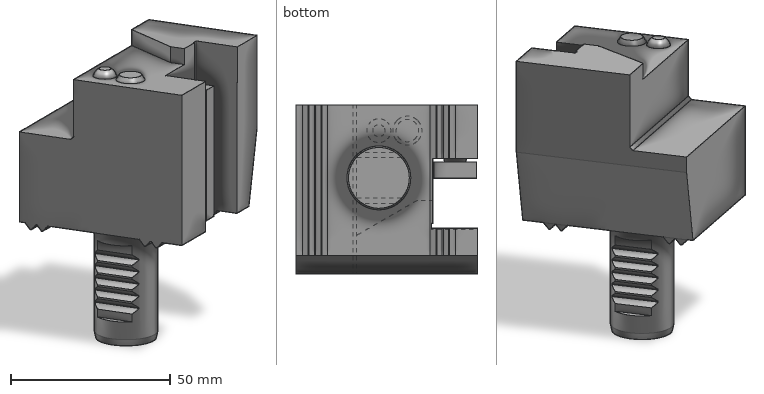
import cadquery as cq
import math


BODY_LENGTH = 57.0
BODY_DEPTH = 53.0
BODY_HEIGHT = 54.5
LEFT = -26.0
RIGHT = LEFT + BODY_LENGTH
FRONT = -22.9
BACK = FRONT + BODY_DEPTH
SHELF_HEIGHT = 29.5
STEP_X = LEFT + 19.0
STEP_CHAMFER = 1.0
TAPER_HEIGHT = 24.4
TAPER_INSET = 5.8

LAND_HEIGHT = 5.2
DECK_Z = BODY_HEIGHT - LAND_HEIGHT
LAND_FRONT = FRONT + 29.9
LAND_CORNER_X = LEFT + 38.1
LAND_ANGLE = 30.0

SLOT_X = LEFT + 42.9
SLOT_FRONT = FRONT + 16.8
SLOT_BACK = FRONT + 39.0
SLOT_BACK_LEAN = 0.4
RELIEF_DEPTH = 0.4
RELIEF_WIDTH = 1.9

BAR_LENGTH = 13.5
BAR_THICKNESS = 5.2
BAR_SIDE_GAP = 0.3
BAR_FRONT_GAP = 1.0
BAR_TOP_DROP = 3.2
SCREW_BASE_DIAMETER = 7.2
SCREW_TIP_DIAMETER = 6.65

BUTTON_Y = FRONT + 8.1
DOME_BASE_DIAMETER = 7.5
DOME_TOP_DIAMETER = 3.8
DOME_HEIGHT = 2.4
DOME_BULGE = 0.3
CAP_X = 8.9
CAP_BASE_DIAMETER = 9.1
CAP_TOP_DIAMETER = 7.0
CAP_HEIGHT = 1.6

TOOTH_PITCH = 4.0
TOOTH_DEPTH = 2.0
TOOTH_TIP_WIDTH = 0.4
TOOTH_VALLEY_WIDTH = 0.4
TOOTH_VALLEY_DROP = 0.2
TOOTH_PAIR_OFFSET = 20.0

SHANK_DIAMETER = 20.0
SHANK_LENGTH = 40.5
SHANK_CHAMFER_HEIGHT = 2.2
SHANK_CHAMFER_INSET = 0.5
FLAT_DISTANCE = 16.0
FLAT_TOP = -7.5
FLAT_BOTTOM = -32.5
GROOVE_COUNT = 5
GROOVE_PITCH = 4.0
GROOVE_DEPTH = 1.6
GROOVE_FLOOR_WIDTH = 0.2
FIRST_GROOVE_Z = -12.3


def make_body():
    """Stepped block with a chamfered inner corner and a tapered lower back."""
    block = (
        cq.Workplane("XZ", origin=(0, FRONT, 0))
        .moveTo(LEFT, 0)
        .lineTo(RIGHT, 0)
        .lineTo(RIGHT, BODY_HEIGHT)
        .lineTo(STEP_X, BODY_HEIGHT)
        .lineTo(STEP_X, SHELF_HEIGHT + STEP_CHAMFER)
        .lineTo(STEP_X - STEP_CHAMFER, SHELF_HEIGHT)
        .lineTo(LEFT, SHELF_HEIGHT)
        .close()
        .extrude(-BODY_DEPTH)
    )
    taper = (
        cq.Workplane("YZ", origin=(LEFT, 0, 0))
        .moveTo(BACK, 0)
        .lineTo(BACK, TAPER_HEIGHT)
        .lineTo(BACK - TAPER_INSET, 0)
        .close()
        .extrude(BODY_LENGTH)
    )
    return block.cut(taper)


def make_deck_cut():
    """Material removed in front of the raised land."""
    slant_rise = (LAND_CORNER_X - STEP_X) * math.tan(math.radians(LAND_ANGLE))
    return (
        cq.Workplane("XY", origin=(0, 0, DECK_Z))
        .moveTo(STEP_X, FRONT)
        .lineTo(RIGHT, FRONT)
        .lineTo(RIGHT, LAND_FRONT)
        .lineTo(LAND_CORNER_X, LAND_FRONT)
        .lineTo(STEP_X, LAND_FRONT + slant_rise)
        .close()
        .extrude(LAND_HEIGHT)
    )


def make_slot_band(start_x, front_y, length):
    """Full-height cut whose back wall leans forward towards the bottom."""
    return (
        cq.Workplane("YZ", origin=(start_x, 0, 0))
        .moveTo(front_y, -TOOTH_DEPTH)
        .lineTo(SLOT_BACK - SLOT_BACK_LEAN, -TOOTH_DEPTH)
        .lineTo(SLOT_BACK, BODY_HEIGHT)
        .lineTo(front_y, BODY_HEIGHT)
        .close()
        .extrude(length)
    )


def make_slot():
    """Slot through the body and the teeth, with the relief in its inner corner."""
    slot = make_slot_band(SLOT_X, SLOT_FRONT, RIGHT - SLOT_X)
    relief = make_slot_band(SLOT_X - RELIEF_DEPTH, SLOT_BACK - RELIEF_WIDTH, RELIEF_DEPTH)
    return slot.union(relief)


def make_clamp():
    """Bar standing in the slot, held off the front slot wall by a tapered screw end."""
    bar_left = SLOT_X + BAR_SIDE_GAP
    bar_front = SLOT_FRONT + BAR_FRONT_GAP
    bar_height = DECK_Z - 2 * BAR_TOP_DROP
    bar = cq.Workplane("XY").box(BAR_LENGTH, BAR_THICKNESS, bar_height, centered=False)
    bar = bar.translate((bar_left, bar_front, BAR_TOP_DROP))
    screw = (
        cq.Workplane("XZ", origin=(bar_left + BAR_LENGTH / 2, SLOT_FRONT, DECK_Z / 2))
        .circle(SCREW_BASE_DIAMETER / 2)
        .workplane(offset=-BAR_FRONT_GAP)
        .circle(SCREW_TIP_DIAMETER / 2)
        .loft()
    )
    return bar.union(screw)


def make_dome_button():
    """Round-sided button with a flat top, in line with the shank axis."""
    base_radius = DOME_BASE_DIAMETER / 2
    top_radius = DOME_TOP_DIAMETER / 2
    return (
        cq.Workplane("XZ")
        .lineTo(base_radius, 0)
        .sagittaArc((top_radius, DOME_HEIGHT), -DOME_BULGE)
        .lineTo(0, DOME_HEIGHT)
        .close()
        .revolve(360, (0, 0, 0), (0, 1, 0))
        .translate((0, BUTTON_Y, DECK_Z))
    )


def make_cap_button():
    """Cone-sided button beside the domed one."""
    return (
        cq.Workplane("XY", origin=(CAP_X, BUTTON_Y, DECK_Z))
        .circle(CAP_BASE_DIAMETER / 2)
        .workplane(offset=CAP_HEIGHT)
        .circle(CAP_TOP_DIAMETER / 2)
        .loft()
    )


def make_tooth_pair(center_x):
    """Two blunt teeth side by side along the underside, ending where the back taper starts."""
    half_tip = TOOTH_TIP_WIDTH / 2
    half_valley = TOOTH_VALLEY_WIDTH / 2
    half_pitch = TOOTH_PITCH / 2
    return (
        cq.Workplane("XZ", origin=(center_x, FRONT, 0))
        .moveTo(-TOOTH_PITCH, 0)
        .lineTo(-half_pitch - half_tip, -TOOTH_DEPTH)
        .lineTo(-half_pitch + half_tip, -TOOTH_DEPTH)
        .lineTo(-half_valley, -TOOTH_VALLEY_DROP)
        .lineTo(half_valley, -TOOTH_VALLEY_DROP)
        .lineTo(half_pitch - half_tip, -TOOTH_DEPTH)
        .lineTo(half_pitch + half_tip, -TOOTH_DEPTH)
        .lineTo(TOOTH_PITCH, 0)
        .close()
        .extrude(TAPER_INSET - BODY_DEPTH)
    )


def make_shank_side_cut():
    """Flat with 45 degree grooves that clears the +Y side of the shank."""
    radius = SHANK_DIAMETER / 2
    flat_y = FLAT_DISTANCE / 2
    groove_floor_y = flat_y - GROOVE_DEPTH
    half_floor = GROOVE_FLOOR_WIDTH / 2
    half_mouth = half_floor + GROOVE_DEPTH
    outline = cq.Workplane("YZ").moveTo(radius, FLAT_TOP).lineTo(flat_y, FLAT_TOP)
    for index in range(GROOVE_COUNT):
        groove_z = FIRST_GROOVE_Z - index * GROOVE_PITCH
        outline = (
            outline.lineTo(flat_y, groove_z + half_mouth)
            .lineTo(groove_floor_y, groove_z + half_floor)
            .lineTo(groove_floor_y, groove_z - half_floor)
            .lineTo(flat_y, groove_z - half_mouth)
        )
    outline = outline.lineTo(flat_y, FLAT_BOTTOM).lineTo(radius, FLAT_BOTTOM).close()
    return outline.extrude(radius, both=True)


def make_shank():
    """Round shank with a chamfered end and a serrated flat on two opposite sides."""
    shank = cq.Workplane("XY").circle(SHANK_DIAMETER / 2).extrude(-SHANK_LENGTH)
    shank = shank.faces("<Z").chamfer(SHANK_CHAMFER_HEIGHT, SHANK_CHAMFER_INSET)
    side_cut = make_shank_side_cut()
    return shank.cut(side_cut).cut(side_cut.mirror("XZ"))


result = make_body().cut(make_deck_cut())
for side in (-1, 1):
    result = result.union(make_tooth_pair(side * TOOTH_PAIR_OFFSET))
result = result.cut(make_slot())
result = result.union(make_clamp())
result = result.union(make_dome_button()).union(make_cap_button())
result = result.union(make_shank())